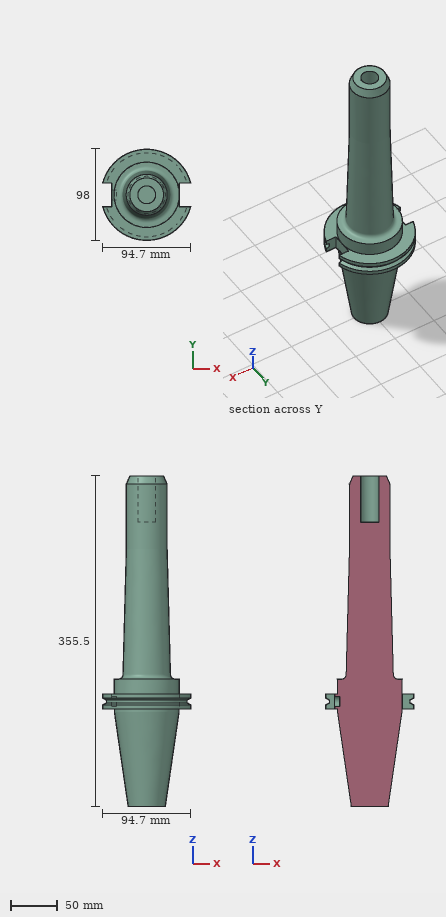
import cadquery as cq

total_height = 355.5
taper_height = 101.7
flange_bottom = 105.0
flange_top = 121.3
collar_top = 137.3
neck_top = 276.5
nose_chamfer_height = 9.0

taper_large_radius = 35.0
taper_rate = 7 / 24
taper_small_radius = taper_large_radius - taper_height * taper_rate / 2
collar_radius = 35.2
flange_radius = 49.0
neck_base_radius = 25.5
neck_fillet = 5.0
nose_radius = 22.0
nose_tip_radius = 18.0

groove_floor_radius = 45.0
groove_mouth_height = 7.0
groove_floor_height = 3.0

slot_width = 25.2
left_slot_floor = 37.7
right_slot_floor = 35.2

bore_radius = 9.5
bore_depth = 49.8
dimple_radius = 5.5
dimple_depth = 5.5

flange_height = flange_top - flange_bottom
flange_middle = (flange_bottom + flange_top) / 2


def revolved_body():
    """Taper, grooved flange, collar, conical neck and nose in one revolution."""
    groove_mouth_half = groove_mouth_height / 2
    groove_floor_half = groove_floor_height / 2
    diagonal = neck_fillet * 0.5**0.5
    fillet_center_radius = neck_base_radius + neck_fillet
    fillet_center_height = collar_top + neck_fillet
    return (
        cq.Workplane("XZ")
        .lineTo(taper_small_radius, 0)
        .lineTo(taper_large_radius, taper_height)
        .lineTo(taper_large_radius, flange_bottom)
        .lineTo(flange_radius, flange_bottom)
        .lineTo(flange_radius, flange_middle - groove_mouth_half)
        .lineTo(groove_floor_radius, flange_middle - groove_floor_half)
        .lineTo(groove_floor_radius, flange_middle + groove_floor_half)
        .lineTo(flange_radius, flange_middle + groove_mouth_half)
        .lineTo(flange_radius, flange_top)
        .lineTo(collar_radius, flange_top)
        .lineTo(collar_radius, collar_top)
        .lineTo(fillet_center_radius, collar_top)
        .threePointArc(
            (fillet_center_radius - diagonal, fillet_center_height - diagonal),
            (neck_base_radius, fillet_center_height),
        )
        .lineTo(nose_radius, neck_top)
        .lineTo(nose_radius, total_height - nose_chamfer_height)
        .lineTo(nose_tip_radius, total_height)
        .lineTo(0, total_height)
        .close()
        .revolve(360, (0, 0, 0), (0, 1, 0))
    )


def drive_slot(side, floor_distance):
    """Slot cutter through the flange; side is -1 for -X and +1 for +X."""
    return (
        cq.Workplane("XY", origin=(side * (floor_distance + flange_radius / 2), 0, flange_middle))
        .box(flange_radius, slot_width, flange_height)
    )


def nose_bore():
    return (
        cq.Workplane("XY", origin=(0, 0, total_height - bore_depth))
        .circle(bore_radius)
        .extrude(bore_depth)
    )


def slot_dimple():
    """Round recess in the floor of the -X slot."""
    return (
        cq.Workplane("YZ", origin=(-left_slot_floor, 0, flange_middle))
        .circle(dimple_radius)
        .extrude(dimple_depth)
    )


result = (
    revolved_body()
    .cut(drive_slot(-1, left_slot_floor))
    .cut(drive_slot(1, right_slot_floor))
    .cut(nose_bore())
    .cut(slot_dimple())
)